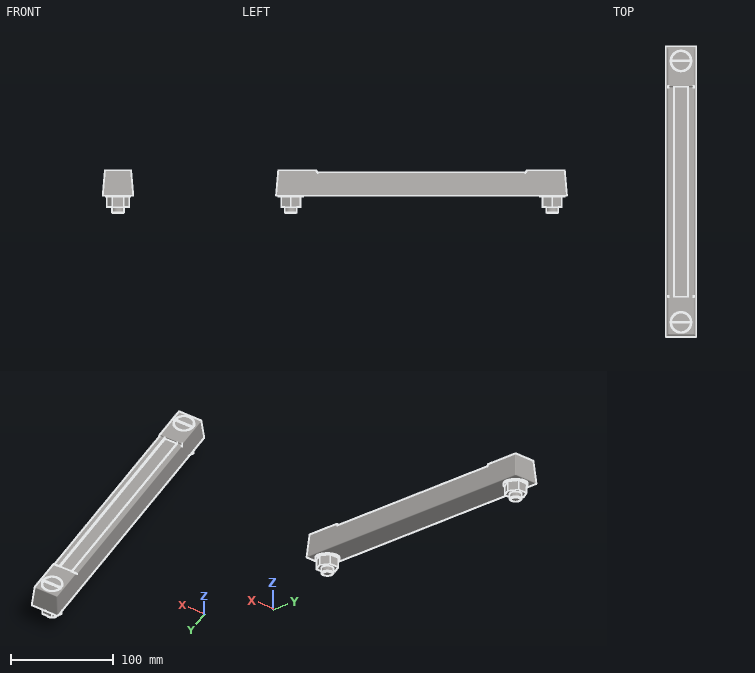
import cadquery as cq
import math

BODY_LENGTH = 283.0
BODY_WIDTH = 30.0
BODY_HEIGHT = 25.0
DRAFT_ANGLE = 5.0
CORNER_RADIUS = 1.0
BOTTOM_EDGE_RADIUS = 0.88
TOP_EDGE_RADIUS = 1.0

RECESS_LENGTH = 204.0
RECESS_DEPTH = 2.0
RECESS_END_RADIUS = RECESS_DEPTH / 2

CHANNEL_TOP_WIDTH = 14.5
CHANNEL_DEPTH = 0.8

SCREW_SPACING = 254.0
HEAD_DIAMETER = 19.0
HEAD_POCKET_DIAMETER = 20.5
HEAD_GAP_DEPTH = 5.0
DRIVER_SLOT_WIDTH = 1.0
DRIVER_SLOT_DEPTH = 2.0
STUD_DIAMETER = 12.0
STUD_TIP_Z = -17.0
STUD_TIP_CHAMFER = 1.0
WASHER_DIAMETER = 24.0
WASHER_THICKNESS = 1.0
NUT_ACROSS_FLATS = 19.0
NUT_HEIGHT = 10.0

RAIL_HEIGHT = BODY_HEIGHT - RECESS_DEPTH
SCREW_POSITIONS = [(0, -SCREW_SPACING / 2), (0, SCREW_SPACING / 2)]


def tapered_block(height):
    """Drafted full-length block, rounded along its corner, bottom and top edges."""
    block = cq.Workplane("XY").rect(BODY_WIDTH, BODY_LENGTH).extrude(height, taper=DRAFT_ANGLE)
    block = block.edges("not(<Z or >Z)").fillet(CORNER_RADIUS)
    block = block.faces("<Z").edges().fillet(BOTTOM_EDGE_RADIUS)
    return block.faces(">Z").edges().fillet(TOP_EDGE_RADIUS)


def recess_cutter():
    """Space between the end blocks: concave at the floor, convex at the upper edges."""
    half = RECESS_LENGTH / 2
    r = RECESS_END_RADIUS
    diagonal = r * math.sin(math.pi / 4)
    profile = (
        cq.Workplane("YZ", origin=(-BODY_WIDTH / 2, 0, 0))
        .moveTo(-half + r, RAIL_HEIGHT)
        .lineTo(half - r, RAIL_HEIGHT)
        .threePointArc((half - r + diagonal, RAIL_HEIGHT + r - diagonal), (half, RAIL_HEIGHT + r))
        .threePointArc((half + r - diagonal, BODY_HEIGHT - r + diagonal), (half + r, BODY_HEIGHT))
        .lineTo(-half - r, BODY_HEIGHT)
        .threePointArc((-half - r + diagonal, BODY_HEIGHT - r + diagonal), (-half, BODY_HEIGHT - r))
        .threePointArc((-half + r - diagonal, RAIL_HEIGHT + r - diagonal), (-half + r, RAIL_HEIGHT))
        .close()
    )
    return profile.extrude(BODY_WIDTH)


def channel_cutter():
    """Shallow channel with 45 degree sides, running from one end block to the other."""
    top = CHANNEL_TOP_WIDTH / 2
    bottom = top - CHANNEL_DEPTH
    z_floor = RAIL_HEIGHT - CHANNEL_DEPTH
    z_open = RAIL_HEIGHT + RECESS_END_RADIUS
    return (
        cq.Workplane("XZ", origin=(0, RECESS_LENGTH / 2, 0))
        .polyline([(-bottom, z_floor), (bottom, z_floor), (top, RAIL_HEIGHT), (top, z_open),
                   (-top, z_open), (-top, RAIL_HEIGHT)])
        .close()
        .extrude(RECESS_LENGTH)
    )


def make_body():
    """Low rail section between two full-height end blocks, with the channel cut in."""
    rail = tapered_block(RAIL_HEIGHT)
    blocks = tapered_block(BODY_HEIGHT).cut(recess_cutter())
    flat_length = RECESS_LENGTH - 2 * RECESS_END_RADIUS
    middle = cq.Workplane("XY").rect(BODY_WIDTH, flat_length).extrude(BODY_HEIGHT)
    body = blocks.cut(middle).union(rail.intersect(middle))
    return body.cut(channel_cutter())


def cut_screw_heads(body):
    """Ring gap around each screw head and a driver slot across it."""
    top = cq.Workplane("XY", origin=(0, 0, BODY_HEIGHT))
    gaps = (
        top.pushPoints(SCREW_POSITIONS)
        .circle(HEAD_POCKET_DIAMETER / 2)
        .circle(HEAD_DIAMETER / 2)
        .extrude(-HEAD_GAP_DEPTH)
    )
    slots = (
        top.pushPoints(SCREW_POSITIONS)
        .rect(HEAD_DIAMETER, DRIVER_SLOT_WIDTH)
        .extrude(-DRIVER_SLOT_DEPTH)
    )
    return body.cut(gaps).cut(slots)


def make_fasteners():
    """Washer, hexagon nut and stud end below the body at each screw."""
    base = cq.Workplane("XY").pushPoints(SCREW_POSITIONS)
    washers = base.circle(WASHER_DIAMETER / 2).extrude(-WASHER_THICKNESS)
    corner_diameter = NUT_ACROSS_FLATS / math.cos(math.pi / 6)
    nuts = base.polygon(6, corner_diameter).extrude(-WASHER_THICKNESS - NUT_HEIGHT)
    studs = base.circle(STUD_DIAMETER / 2).extrude(STUD_TIP_Z)
    studs = studs.faces("<Z").edges().chamfer(STUD_TIP_CHAMFER)
    return washers.union(nuts).union(studs)


result = cut_screw_heads(make_body()).union(make_fasteners())